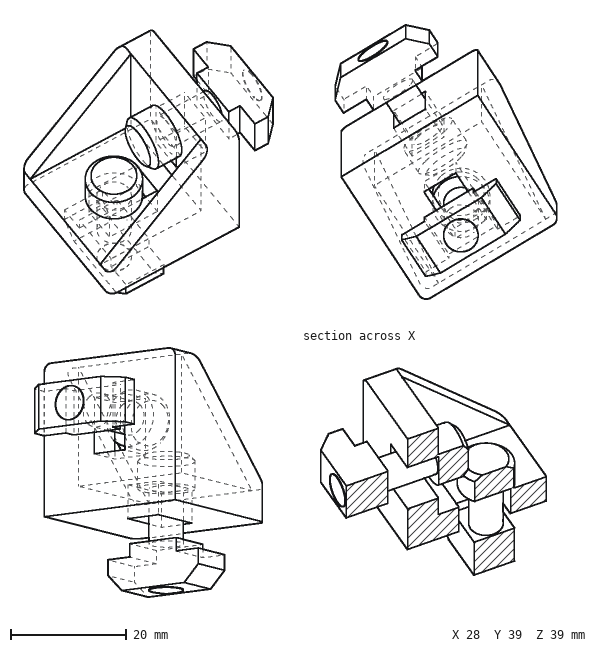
import cadquery as cq

bracket_width = 28.0
leg_length = 27.0
plate_thickness = 6.0
rib_thickness = 3.0
corner_radius = 1.5

slot_width = 6.5
slot_start = 10.0
slot_end = 19.95

overall_length = 39.0
bolt_position = 16.85
head_diameter = 10.0
head_top = 11.85
head_chamfer = 1.0
shank_diameter = 6.0
shank_tip = leg_length - overall_length

nut_thickness = 7.88
neck_width = 10.0
flange_width = 19.35
nut_gap = 3.8
neck_height = 2.35
flange_side_height = 2.75
flange_chamfer = 3.0


def place_on_floor(shape):
    """Move a shape along the floor plate."""
    return shape.translate((0, -bolt_position, 0))


def place_on_wall(shape):
    """Turn a shape so that its +Z faces -Y, and move it up the wall plate."""
    return shape.rotate((0, 0, 0), (1, 0, 0), 90).translate((0, 0, bolt_position))


def make_bracket():
    outline = [
        (0, 0),
        (-leg_length, 0),
        (-leg_length, plate_thickness),
        (-plate_thickness, leg_length),
        (0, leg_length),
    ]
    body = cq.Workplane("YZ").polyline(outline).close().extrude(bracket_width / 2, both=True)

    plate_blank = cq.Workplane("XY").box(
        bracket_width, leg_length, leg_length, centered=(True, False, False)
    ).translate((0, -leg_length, 0))
    floor_rounding = plate_blank.edges("|Z and <Y").fillet(corner_radius)
    wall_rounding = plate_blank.edges("|Y and >Z").fillet(corner_radius)
    body = body.intersect(floor_rounding).intersect(wall_rounding)

    pocket = cq.Workplane("XY").box(
        bracket_width - 2 * rib_thickness, leg_length, leg_length, centered=(True, False, False)
    ).translate((0, -leg_length - plate_thickness, plate_thickness))
    return body.cut(pocket)


def make_slots():
    slot_length = slot_end - slot_start
    floor_slot = cq.Workplane("XY").box(
        slot_width, slot_length, plate_thickness, centered=(True, False, False)
    ).translate((0, -slot_end, 0))
    wall_slot = cq.Workplane("XY").box(
        slot_width, plate_thickness, slot_length, centered=(True, False, False)
    ).translate((0, -plate_thickness, slot_start))
    return floor_slot.union(wall_slot)


def make_bolt():
    """Bolt along Z, with the plate's outer face at Z = 0."""
    head = (
        cq.Workplane("XY", origin=(0, 0, plate_thickness))
        .circle(head_diameter / 2)
        .extrude(head_top - plate_thickness)
        .faces(">Z")
        .chamfer(head_chamfer)
    )
    shank = (
        cq.Workplane("XY", origin=(0, 0, shank_tip))
        .circle(shank_diameter / 2)
        .extrude(plate_thickness - shank_tip)
    )
    return head.union(shank)


def make_nut():
    neck_top = -nut_gap
    flange_top = neck_top - neck_height
    chamfer_start = flange_top - flange_side_height
    bottom = chamfer_start - flange_chamfer
    half_neck = neck_width / 2
    half_flange = flange_width / 2
    right_side = [
        (half_neck, neck_top),
        (half_neck, flange_top),
        (half_flange, flange_top),
        (half_flange, chamfer_start),
        (half_flange - flange_chamfer, bottom),
    ]
    left_side = [(-x, z) for x, z in reversed(right_side)]
    return (
        cq.Workplane("XZ")
        .polyline(right_side + left_side)
        .close()
        .extrude(nut_thickness / 2, both=True)
    )


fastener = make_bolt().union(make_nut())
result = make_bracket().cut(make_slots())
for place in (place_on_floor, place_on_wall):
    result = result.union(place(fastener))